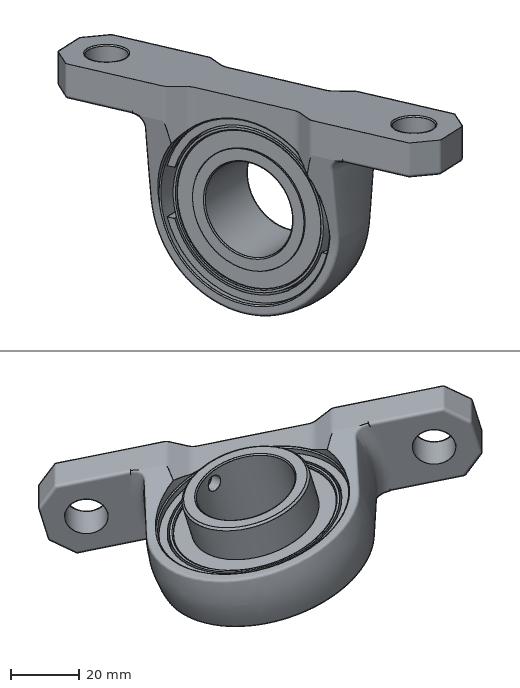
import cadquery as cq
import math


tolerance = 0.01

plate_length = 131.4
plate_half_width = 13.0
plate_top = 36.1
plate_thickness = 11.2
plate_bottom = plate_top - plate_thickness
corner_chamfer = 6.8
corner_round = 1.2
bottom_round = 1.0
waist_half_width = 9.1
waist_inner_x = 18.3
waist_slope = 30.0
waist_inner_round = 5.3
waist_outer_round = 2.9
bolt_hole_diameter = 12.7
bolt_hole_chamfer = 0.4
bolt_hole_x = 52.7

shell_radius = 33.5
shell_draft = math.radians(2.2)
root_fillet = 4.0
housing_half_width = 9.0
flank_foot_z = -3.5
flank_blend_radius = 47.3
rim_round = 0.9

seat_radius = 27.3
mouth_diameter = 58.0
mouth_chamfer = 0.4
mouth_floor_y = 6.8
loading_slot_half_height = 8.1

bore_diameter = 30.0
bore_chamfer = 0.4
outer_ring_radius = 26.7
outer_ring_half_width = 6.8
seal_diameter = 49.4
seal_edge_diameter = 50.0
seal_depth = 0.7
inner_ring_diameter = 38.2
collar_diameter = 38.8
collar_end_y = 17.9
collar_chamfer = 0.7
screw_hole_diameter = 5.0
screw_hole_skin = 0.7
screw_hole_y = 13.5
screw_hole_angles = (45, 135)

waist_outer_x = waist_inner_x + (plate_half_width - waist_half_width) / math.tan(math.radians(waist_slope))


def waisted_prism(height):
    """Plate outline with its waist and rounded corners, extruded downward from the plate top."""
    end_x = plate_length / 2
    quarter = [
        (waist_inner_x, waist_half_width),
        (waist_outer_x, plate_half_width),
        (end_x - corner_chamfer, plate_half_width),
        (end_x, plate_half_width - corner_chamfer),
    ]
    right_half = quarter + [(x, -y) for x, y in reversed(quarter)]
    left_half = [(-x, -y) for x, y in right_half]
    prism = (
        cq.Workplane("XY", origin=(0, 0, plate_top))
        .polyline(right_half + left_half)
        .close()
        .extrude(-height)
    )
    corner_rounds = [
        (waist_inner_x, waist_inner_round),
        (waist_outer_x, waist_outer_round),
        (end_x - corner_chamfer, corner_round),
        (end_x, corner_round),
    ]
    for corner_x, radius in corner_rounds:
        corner_edges = prism.edges("|Z").filter(lambda edge: abs(abs(edge.Center().x) - corner_x) < tolerance)
        prism = corner_edges.fillet(radius)
    return prism


def make_plate():
    """Waisted plate with a rounded lower edge."""
    return waisted_prism(plate_thickness).faces("<Z").edges().fillet(bottom_round)


def shell_of_revolution():
    """Sphere that runs tangentially into a drafted wall and flares into the plate underside, about Z."""
    sin_draft = math.sin(shell_draft)
    cos_draft = math.cos(shell_draft)
    flare_center_z = plate_bottom - root_fillet
    flare_start_z = flare_center_z + root_fillet * sin_draft
    flare_start_r = (shell_radius + flare_start_z * sin_draft) / cos_draft
    flare_center_r = flare_start_r + root_fillet * cos_draft
    mid_arc = math.sqrt(0.5)
    return (
        cq.Workplane("XZ")
        .moveTo(0, plate_top)
        .lineTo(0, -shell_radius)
        .threePointArc(
            (shell_radius * mid_arc, -shell_radius * mid_arc),
            (shell_radius * cos_draft, -shell_radius * sin_draft),
        )
        .lineTo(flare_start_r, flare_start_z)
        .threePointArc(
            (flare_center_r - root_fillet * mid_arc, flare_center_z + root_fillet * mid_arc),
            (flare_center_r, plate_bottom),
        )
        .lineTo(flare_center_r, plate_top)
        .close()
        .revolve(360, (0, 0, 0), (0, 1, 0))
    )


def flank_slab():
    """Slab along X with blended flanks that spread from the housing width to the plate width."""
    low_z = -2 * shell_radius
    half = [
        (housing_half_width, low_z),
        (housing_half_width, flank_foot_z),
        (plate_half_width, plate_bottom),
        (plate_half_width, plate_top),
    ]
    mirrored = [(-y, z) for y, z in reversed(half)]
    slab = cq.Workplane("YZ").polyline(half + mirrored).close().extrude(plate_length / 2, both=True)
    foot_edges = slab.edges("|X").filter(lambda edge: abs(edge.Center().z - flank_foot_z) < tolerance)
    return foot_edges.fillet(flank_blend_radius)


def is_rim_edge(edge):
    """True for the curved edges where the shell meets a flank."""
    center = edge.Center()
    on_flank = abs(center.y) > housing_half_width / 2
    return on_flank and center.z < plate_bottom - tolerance and edge.geomType() != "LINE"


def make_web():
    """Housing wall below the plate, rounded along both rims and waisted like the plate."""
    web = shell_of_revolution().intersect(flank_slab())
    web = web.edges().filter(is_rim_edge).fillet(rim_round)
    return web.intersect(waisted_prism(plate_top + 2 * shell_radius))


def bolt_hole():
    """Round cutter through the plate with a chamfer at the plate top, centred on Z."""
    radius = bolt_hole_diameter / 2
    profile = [
        (0, plate_bottom),
        (radius, plate_bottom),
        (radius, plate_top - bolt_hole_chamfer),
        (radius + bolt_hole_chamfer, plate_top),
        (0, plate_top),
    ]
    return cq.Workplane("XZ").polyline(profile).close().revolve(360, (0, 0, 0), (0, 1, 0))


def bearing_seat():
    """Spherical seat that opens into a shallow chamfered mouth on each side."""
    mouth_radius = mouth_diameter / 2
    outside_y = plate_half_width
    chamfer_foot_y = housing_half_width - mouth_chamfer
    chamfer_rim_radius = mouth_radius + mouth_chamfer
    mouth_profile = [
        (0, mouth_floor_y),
        (mouth_radius, mouth_floor_y),
        (mouth_radius, chamfer_foot_y),
        (chamfer_rim_radius, housing_half_width),
        (chamfer_rim_radius, outside_y),
        (0, outside_y),
    ]
    mouth = cq.Workplane("XY").polyline(mouth_profile).close().revolve(360, (0, 0, 0), (0, 1, 0))
    return cq.Workplane("XY").sphere(seat_radius).union(mouth).union(mouth.mirror("XZ"))


def loading_slots():
    """Opposed slots, as wide as the mouth, that let the outer ring in from the -Y side to mid-seat."""
    band = cq.Workplane("XY").box(plate_length, plate_half_width, 2 * loading_slot_half_height)
    band = band.translate((0, -plate_half_width / 2, 0))
    disc = cq.Workplane("XZ").circle(mouth_diameter / 2).extrude(plate_half_width)
    return disc.intersect(band)


def make_housing():
    """Plate and web in one piece, with bolt holes, bearing seat and loading slots."""
    housing = make_plate().union(make_web())
    for hole_x in (-bolt_hole_x, bolt_hole_x):
        housing = housing.cut(bolt_hole().translate((hole_x, 0, 0)))
    return housing.cut(bearing_seat()).cut(loading_slots())


def bearing_blank():
    """Spherical outer ring with its seals, inner ring and rear collar, revolved about Y."""
    seal_radius = seal_diameter / 2
    seal_edge_radius = seal_edge_diameter / 2
    inner_radius = inner_ring_diameter / 2
    collar_radius = collar_diameter / 2
    bore_radius = bore_diameter / 2
    ring_y = outer_ring_half_width
    seal_y = ring_y - seal_depth
    seal_edge_y = ring_y - (seal_edge_radius - seal_radius)
    ring_edge_radius = math.sqrt(outer_ring_radius**2 - ring_y**2)
    return (
        cq.Workplane("XY")
        .moveTo(bore_radius, -ring_y + bore_chamfer)
        .lineTo(bore_radius + bore_chamfer, -ring_y)
        .lineTo(inner_radius, -ring_y)
        .lineTo(inner_radius, -seal_y)
        .lineTo(seal_radius, -seal_y)
        .lineTo(seal_radius, -seal_edge_y)
        .lineTo(seal_edge_radius, -ring_y)
        .lineTo(ring_edge_radius, -ring_y)
        .threePointArc((outer_ring_radius, 0), (ring_edge_radius, ring_y))
        .lineTo(seal_edge_radius, ring_y)
        .lineTo(seal_radius, seal_edge_y)
        .lineTo(seal_radius, seal_y)
        .lineTo(collar_radius, seal_y)
        .lineTo(collar_radius, collar_end_y - collar_chamfer)
        .lineTo(collar_radius - collar_chamfer, collar_end_y)
        .lineTo(bore_radius + bore_chamfer, collar_end_y)
        .lineTo(bore_radius, collar_end_y - bore_chamfer)
        .close()
        .revolve(360, (0, 0, 0), (0, 1, 0))
    )


def set_screw_hole(angle):
    """Radial cutter that leaves the bore and stops under the collar skin, turned about Y."""
    hole = (
        cq.Workplane("XY", origin=(0, screw_hole_y, 0))
        .circle(screw_hole_diameter / 2)
        .extrude(collar_diameter / 2 - screw_hole_skin)
    )
    return hole.rotate((0, 0, 0), (0, 1, 0), angle)


def make_bearing():
    """Insert bearing with two blind set screw holes in its collar."""
    bearing = bearing_blank()
    for angle in screw_hole_angles:
        bearing = bearing.cut(set_screw_hole(angle))
    return bearing


housing = make_housing()
bearing = make_bearing()
result = cq.Compound.makeCompound([housing.solids().val(), bearing.solids().val()])